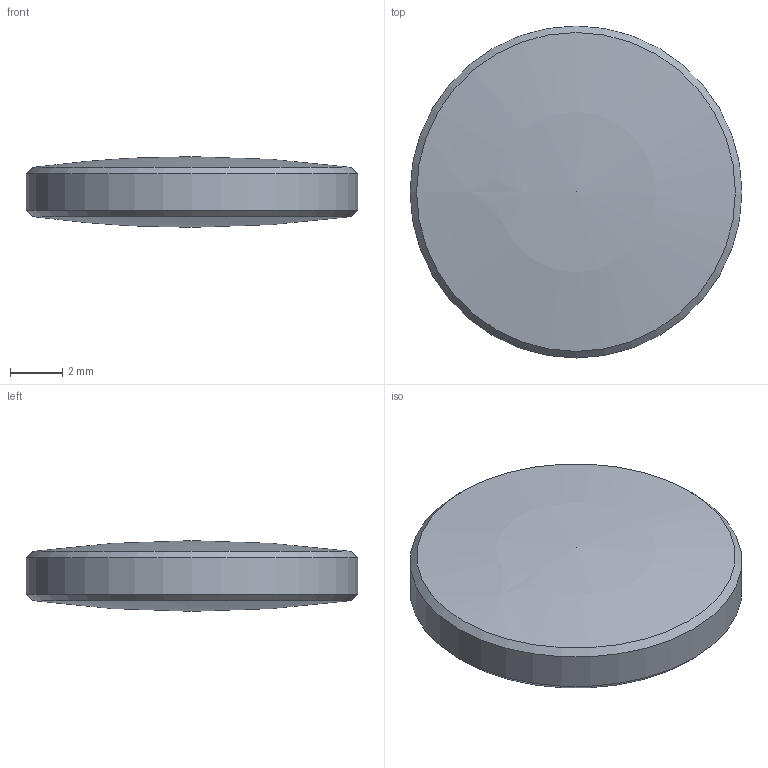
import cadquery as cq

diameter = 12.7
center_thickness = 2.7
face_sag = 0.41
chamfer = 0.25

edge_radius = diameter / 2
rim_radius = edge_radius - chamfer
apex_height = center_thickness / 2
rim_height = apex_height - face_sag
edge_height = rim_height - chamfer

sphere_radius = (rim_radius**2 + face_sag**2) / (2 * face_sag)

mid_radius = rim_radius / 2
mid_height = apex_height - sphere_radius + (sphere_radius**2 - mid_radius**2) ** 0.5


def lens_body():
    """Revolve the half section, drawn in the XZ plane, around the Z axis."""
    section = (
        cq.Workplane("XZ")
        .moveTo(0, -apex_height)
        .threePointArc((-mid_radius, -mid_height), (-rim_radius, -rim_height))
        .lineTo(-edge_radius, -edge_height)
        .lineTo(-edge_radius, edge_height)
        .lineTo(-rim_radius, rim_height)
        .threePointArc((-mid_radius, mid_height), (0, apex_height))
        .close()
    )
    return section.revolve(360, (0, 0, 0), (0, 1, 0))


result = lens_body()